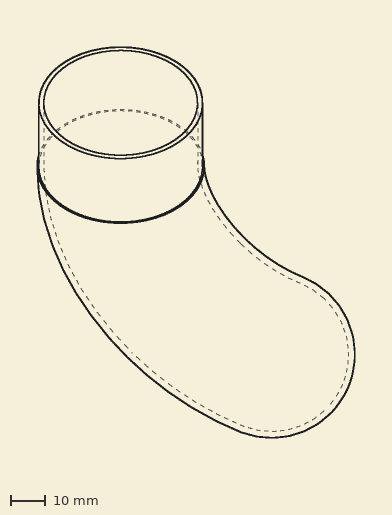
import cadquery as cq

pipe_diameter = 48.3
spigot_diameter = 47.3
bore_diameter = 44.4
spigot_length = 25.0
overall_height = 99.5

bend_radius = overall_height - spigot_length - pipe_diameter / 2


def quarter_bend(diameter):
    """Solid elbow from the origin, turning from -Z towards +X."""
    return (
        cq.Workplane("XY")
        .circle(diameter / 2)
        .revolve(90, (bend_radius, 0, 0), (bend_radius, -1, 0))
    )


def end_dome(diameter):
    """Solid hemisphere closing the far end of the bend, bulging towards +X."""
    radius = diameter / 2
    return (
        cq.Workplane("XZ")
        .moveTo(0, 0)
        .lineTo(radius, 0)
        .radiusArc((0, radius), -radius)
        .close()
        .revolve(360, (0, 0, 0), (1, 0, 0))
        .translate((bend_radius, 0, -bend_radius))
    )


def straight_end(diameter):
    """Solid cylinder rising from the start of the bend."""
    return cq.Workplane("XY").circle(diameter / 2).extrude(spigot_length)


def capped_elbow(straight_diameter, bend_diameter):
    """Straight end, bend and dome joined into one solid."""
    return (
        straight_end(straight_diameter)
        .union(quarter_bend(bend_diameter))
        .union(end_dome(bend_diameter))
    )


outside = capped_elbow(spigot_diameter, pipe_diameter)
bore = capped_elbow(bore_diameter, bore_diameter)
result = outside.cut(bore)